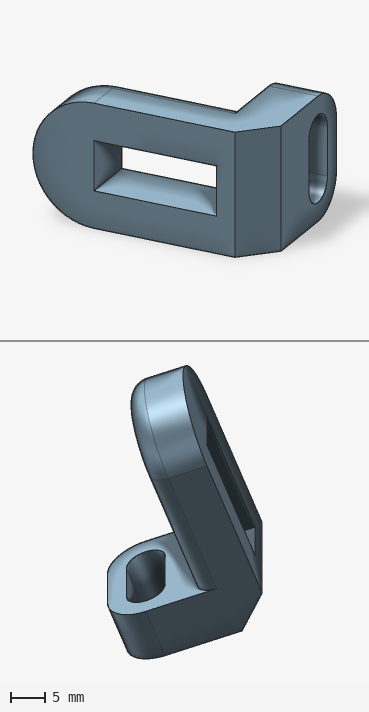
import cadquery as cq

length = 38.0
depth = 23.0
height = 20.0

plate_thickness = 9.0
rim_fillet = 3.0
end_radius = height / 2

leg_thickness = 8.0
leg_corner_radius = 6.0
heel_chamfer = 5.0

window_length = 20.0
window_height = 8.0
slot_width = 6.0
slot_length = 14.0


def make_plate():
    """Plate in the XZ plane with its front face at Y = 0 and a rounded back rim."""
    plate = (
        cq.Workplane("XZ")
        .moveTo(length, -end_radius)
        .lineTo(end_radius, -end_radius)
        .threePointArc((0, 0), (end_radius, end_radius))
        .lineTo(length, end_radius)
        .close()
        .extrude(-plate_thickness)
    )
    rim = plate.faces(">Y").edges("not >X")
    return rim.fillet(rim_fillet)


def make_leg():
    """Leg rising along +Y with two rounded corners and a chamfered heel."""
    leg = cq.Workplane("XY").box(leg_thickness, depth, height, centered=(False, False, True))
    leg = leg.translate((length - leg_thickness, 0, 0))
    leg = leg.edges("|X and >Y").fillet(leg_corner_radius)
    return leg.edges("|Z and >X and <Y").chamfer(heel_chamfer)


def make_window():
    """Rectangular opening through the plate, starting at the centre of its round end."""
    window = cq.Workplane("XY").box(
        window_length, plate_thickness, window_height, centered=(False, False, True)
    )
    return window.translate((end_radius, 0, 0))


def make_slot():
    """Upright slot through the leg, in line with the centres of its rounded corners."""
    return (
        cq.Workplane("YZ", origin=(length - leg_thickness, 0, 0))
        .center(depth - leg_corner_radius, 0)
        .slot2D(slot_length, slot_width, 90)
        .extrude(leg_thickness)
    )


plate_clip = cq.Workplane("XY").box(
    length - leg_thickness, depth, height, centered=(False, False, True)
)

result = (
    make_plate()
    .intersect(plate_clip)
    .union(make_leg())
    .cut(make_window())
    .cut(make_slot())
)